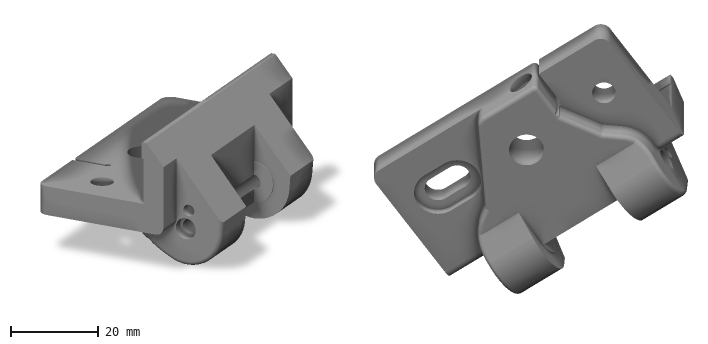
import cadquery as cq
import math


plate_length = 65.0
plate_thickness = 7.0
plate_corner_radius = 2.6
wall_front_x = 27.5
wall_back_x = 32.6
wall_top_z = 22.0
wall_heel_radius = 2.0
lip_front_x = 27.0
lip_bottom_z = 18.0
lip_edge_radius = 0.2

hinge_x = 35.0
ear_radius = 9.0
ear_tip_z = 2.9
ear_tip_lean = math.radians(5.0)
back_slope = math.radians(50.0)
hinge_mid_y = -2.5
ear_span = 46.9
ear_right_y = hinge_mid_y - ear_span / 2
ear_left_y = hinge_mid_y + ear_span / 2

gap_wall_x = 35.1
gap_width_at_hinge = 21.9
gap_taper = math.radians(1.2)
spacer_diameter = 10.0
spacer_height = 0.2

block_depth = 5.0
block_slope_start_x = 25.0
block_left_y = 2.5
block_left_radius = 2.6
block_right_y = -13.65
block_right_radius = 1.1
left_flank_steep_angle = math.radians(54.0)
right_flank_steep_angle = math.radians(50.0)
flank_shallow_angle = math.radians(30.0)
left_flank_bend_y = 14.1
right_flank_start_x = 9.8
right_flank_bend_y = -19.0
flank_blend_radius = 10.0
bottom_edge_radius = 1.0

slit_width = 0.85
slit_relief_radius = 0.7
slit_relief_x = 8.8

hole_row_x = 12.5
long_hole_width = 6.1
long_hole_length = 11.4
long_hole_y = 19.45
long_hole_counterbore_width = 11.0
long_hole_counterbore_depth = 2.0
centre_hole_diameter = 8.0
small_hole_diameter = 5.4
small_hole_y = -24.0

screw_y = -9.5
screw_z = 1.0
screw_diameter = 3.5
screw_head_diameter = 6.1
screw_head_depth = 2.0
nut_pocket_x = 19.3
nut_thickness = 2.7
nut_width = 5.6

pin_diameter = 3.5
pin_head_diameter = 5.1
pin_head_depth = 2.0
detent_diameter = 2.8
detent_offset_x = 0.8
detent_z = 4.6
detent_depth = 2.0

tolerance = 1e-3

ear_tip_x = hinge_x + (ear_radius + ear_tip_z * math.sin(ear_tip_lean)) / math.cos(ear_tip_lean)


def slope_z(x):
    """Height of the sloping back face at x."""
    return ear_tip_z + (ear_tip_x - x) * math.tan(back_slope)


def slope_x(z):
    """Position of the sloping back face at height z."""
    return ear_tip_x - (z - ear_tip_z) / math.tan(back_slope)


def ear_rim_point(angle):
    """Point on the round end of an ear, with the angle measured from +X towards +Z."""
    return hinge_x + ear_radius * math.cos(angle), ear_radius * math.sin(angle)


def along_y(profile, y_start, y_end):
    """Extrude an XZ profile between two Y positions."""
    return profile.extrude(y_start - y_end).translate((0, y_start, 0))


def make_plate():
    profile = (
        cq.Workplane("XZ")
        .moveTo(0, 0)
        .lineTo(wall_back_x - wall_heel_radius, 0)
        .radiusArc((wall_back_x, wall_heel_radius), -wall_heel_radius)
        .lineTo(wall_back_x, slope_z(wall_back_x))
        .lineTo(slope_x(wall_top_z), wall_top_z)
        .lineTo(lip_front_x, wall_top_z)
        .lineTo(lip_front_x, lip_bottom_z)
        .lineTo(wall_front_x, lip_bottom_z)
        .lineTo(wall_front_x, plate_thickness)
        .lineTo(0, plate_thickness)
        .close()
    )
    plate = along_y(profile, -plate_length / 2, plate_length / 2)
    plate = plate.edges("|Z and <X").fillet(plate_corner_radius)
    for lip_edge_z in (lip_bottom_z, wall_top_z):
        lip_edge = cq.NearestToPointSelector((lip_front_x, 0, lip_edge_z))
        plate = plate.edges("|Y").edges(lip_edge).fillet(lip_edge_radius)

    slit = (
        cq.Workplane("XY")
        .moveTo(0, block_right_y)
        .lineTo(slit_relief_x, block_right_y)
        .lineTo(slit_relief_x, block_right_y - slit_width)
        .lineTo(0, block_right_y - slit_width)
        .close()
        .extrude(plate_thickness)
    )
    plate = plate.cut(slit)
    slit_corner = cq.NearestToPointSelector((0, block_right_y, plate_thickness / 2))
    return plate.edges("|Z").edges(slit_corner).fillet(block_right_radius)


def make_plan_prism(bottom_z, top_z):
    """Upright prism with the outline of the clamp block and both ears seen along Z."""
    shallow = math.tan(flank_shallow_angle)
    left_bend_x = (left_flank_bend_y - block_left_y) / shallow
    left_ear_x = left_bend_x + (ear_left_y - left_flank_bend_y) / math.tan(left_flank_steep_angle)
    right_bend_x = right_flank_start_x + (block_right_y - right_flank_bend_y) / shallow
    right_ear_x = right_bend_x + (right_flank_bend_y - ear_right_y) / math.tan(right_flank_steep_angle)
    outline = [
        (0, block_left_y),
        (left_bend_x, left_flank_bend_y),
        (left_ear_x, ear_left_y),
        (ear_tip_x + ear_radius, ear_left_y),
        (ear_tip_x + ear_radius, ear_right_y),
        (right_ear_x, ear_right_y),
        (right_bend_x, right_flank_bend_y),
        (right_flank_start_x, block_right_y),
        (0, block_right_y),
    ]
    base = cq.Workplane("XY").workplane(offset=bottom_z)
    prism = base.polyline(outline).close().extrude(top_z - bottom_z)
    rounded_corners = [
        (0, block_left_y, block_left_radius),
        (0, block_right_y, block_right_radius),
        (left_ear_x, ear_left_y, flank_blend_radius),
        (right_ear_x, ear_right_y, flank_blend_radius),
    ]
    mid_z = (bottom_z + top_z) / 2
    for x, y, radius in rounded_corners:
        corner = cq.NearestToPointSelector((x, y, mid_z))
        prism = prism.edges("|Z").edges(corner).fillet(radius)
    return prism


def make_block_and_ears():
    start_to_hinge = hinge_x - block_slope_start_x
    underside_slope = math.asin(ear_radius / math.hypot(start_to_hinge, block_depth))
    underside_slope -= math.atan2(block_depth, start_to_hinge)
    rim_start = ear_rim_point(-math.pi / 2 - underside_slope)
    rim_end = ear_rim_point(-ear_tip_lean)
    profile = (
        cq.Workplane("XZ")
        .moveTo(0, 0)
        .lineTo(0, -block_depth)
        .lineTo(block_slope_start_x, -block_depth)
        .lineTo(*rim_start)
        .threePointArc(ear_rim_point(-math.pi / 4), rim_end)
        .lineTo(ear_tip_x, ear_tip_z)
        .lineTo(wall_back_x, slope_z(wall_back_x))
        .lineTo(wall_front_x, slope_z(wall_back_x))
        .lineTo(wall_front_x, 0)
        .close()
    )
    side = along_y(profile, -plate_length / 2, plate_length / 2)
    body = side.intersect(make_plan_prism(-ear_radius, wall_top_z))
    return round_lower_rim(body)


def round_lower_rim(body):
    """Round the edges where the upright sides meet the underside and the ear tips."""
    def is_rim(edge):
        middle = edge.positionAt(0.5)
        below_plate = middle.z < -tolerance
        up_the_tip = middle.x > hinge_x and middle.z < ear_tip_z - tolerance
        upright = abs(edge.tangentAt(0.5).z) > 1 - tolerance
        crosses_gap = edge.BoundingBox().ylen > gap_width_at_hinge
        straight_across = crosses_gap and middle.x > block_slope_start_x - tolerance
        return (below_plate or up_the_tip) and not upright and not straight_across

    rim = [edge for edge in body.edges().vals() if is_rim(edge)]
    return body.newObject(rim).fillet(bottom_edge_radius)


def make_gap():
    reach = ear_tip_x + ear_radius

    def half_width(x):
        return gap_width_at_hinge / 2 + (x - hinge_x) * math.tan(gap_taper)

    def wedge(x_start, bottom_z, top_z):
        outline = [
            (x_start, hinge_mid_y - half_width(x_start)),
            (reach, hinge_mid_y - half_width(reach)),
            (reach, hinge_mid_y + half_width(reach)),
            (x_start, hinge_mid_y + half_width(x_start)),
        ]
        base = cq.Workplane("XY").workplane(offset=bottom_z)
        return base.polyline(outline).close().extrude(top_z - bottom_z)

    between_ears = wedge(gap_wall_x, -2 * ear_radius, wall_top_z)
    below_block = wedge(block_slope_start_x, -2 * ear_radius, -block_depth)
    spacer_gap = gap_width_at_hinge / 2 - spacer_height
    gap = between_ears.union(below_block)
    for side in (-1, 1):
        face_y = hinge_mid_y + side * spacer_gap
        ear_y = hinge_mid_y + side * ear_span / 2
        spacer = cq.Workplane("XZ").center(hinge_x, 0).circle(spacer_diameter / 2)
        gap = gap.cut(along_y(spacer, min(face_y, ear_y), max(face_y, ear_y)))
    return gap


def make_plate_holes():
    full_depth = plate_thickness + block_depth

    def round_hole(x, y, diameter):
        return cq.Workplane("XY", origin=(x, y, -block_depth)).circle(diameter / 2).extrude(full_depth)

    def long_hole(width, height):
        length = long_hole_length - long_hole_width + width
        base = cq.Workplane("XY", origin=(hole_row_x, long_hole_y, 0))
        return base.slot2D(length, width, 90).extrude(height)

    relief_y = block_right_y - slit_width + slit_relief_radius
    return (
        long_hole(long_hole_width, plate_thickness)
        .union(long_hole(long_hole_counterbore_width, long_hole_counterbore_depth))
        .union(round_hole(hole_row_x, hinge_mid_y, centre_hole_diameter))
        .union(round_hole(hole_row_x, small_hole_y, small_hole_diameter))
        .union(round_hole(slit_relief_x, relief_y, 2 * slit_relief_radius))
    )


def make_clamp_screw():
    def bore(diameter, depth):
        return cq.Workplane("YZ").center(screw_y, screw_z).circle(diameter / 2).extrude(depth)

    shank = bore(screw_diameter, ear_tip_x)
    head = bore(screw_head_diameter, screw_head_depth)
    nut_floor_z = screw_z - nut_width / 2
    nut_pocket = cq.Workplane("XY").box(
        nut_thickness, nut_width, plate_thickness - nut_floor_z, centered=(True, True, False)
    )
    nut_pocket = nut_pocket.translate((nut_pocket_x, screw_y, nut_floor_z))
    return shank.union(head).union(nut_pocket)


def make_hinge_holes():
    def bore(x, z, diameter, y_end):
        circle = cq.Workplane("XZ").center(x, z).circle(diameter / 2)
        return along_y(circle, ear_right_y, y_end)

    pin = bore(hinge_x, 0, pin_diameter, ear_left_y)
    pin_head = bore(hinge_x, 0, pin_head_diameter, ear_right_y + pin_head_depth)
    detent = bore(hinge_x + detent_offset_x, detent_z, detent_diameter, ear_right_y + detent_depth)
    return pin.union(pin_head).union(detent)


result = make_plate().union(make_block_and_ears()).cut(make_gap())
result = result.cut(make_plate_holes()).cut(make_clamp_screw()).cut(make_hinge_holes())